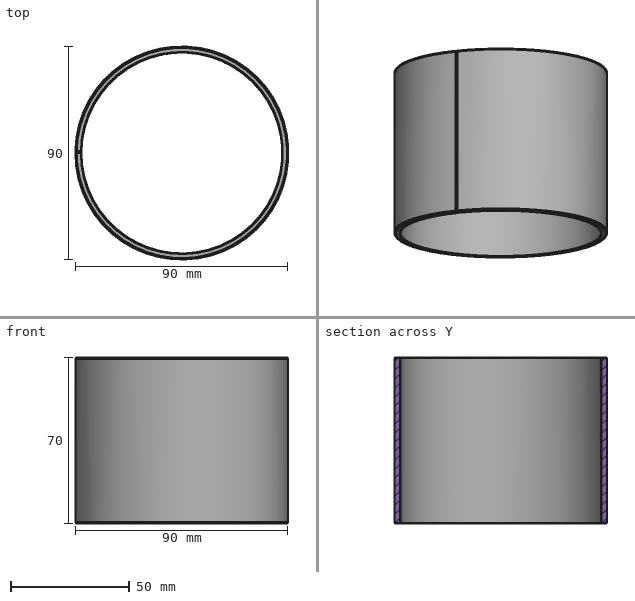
import cadquery as cq

outer_diameter = 90.0
wall_thickness = 2.5
length = 70.0

outer_chamfer = 0.5
bore_chamfer = 0.2

joint_angle = 0.95

outer_radius = outer_diameter / 2
inner_radius = outer_radius - wall_thickness
half_length = length / 2


def wall_profile():
    """Cross-section of the wall on the -X side, in the XZ plane."""
    outer_rim_radius = outer_radius - outer_chamfer
    bore_rim_radius = inner_radius + bore_chamfer
    outer_chamfer_start = half_length - outer_chamfer
    bore_chamfer_start = half_length - bore_chamfer
    return (
        cq.Workplane("XZ")
        .moveTo(-bore_rim_radius, -half_length)
        .lineTo(-outer_rim_radius, -half_length)
        .lineTo(-outer_radius, -outer_chamfer_start)
        .lineTo(-outer_radius, outer_chamfer_start)
        .lineTo(-outer_rim_radius, half_length)
        .lineTo(-bore_rim_radius, half_length)
        .lineTo(-inner_radius, bore_chamfer_start)
        .lineTo(-inner_radius, -bore_chamfer_start)
        .close()
    )


full_turn = 360
axis_start = (0, 0)
axis_end = (0, 1)
result = wall_profile().revolve(full_turn - joint_angle, axis_start, axis_end)